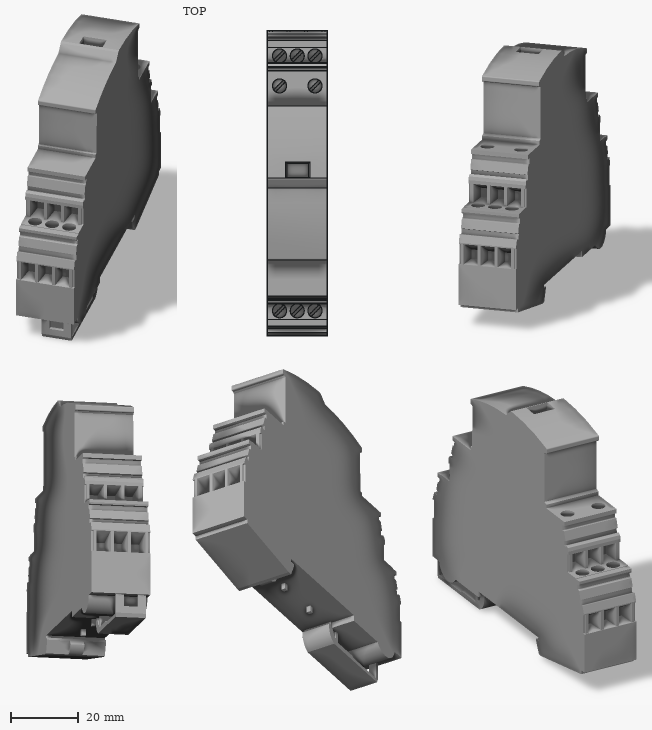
import cadquery as cq


WIDTH = 17.7
LENGTH = 90.0
HALF_WIDTH = WIDTH / 2
HALF_LENGTH = LENGTH / 2
TOP_DECK_Z = 44.4
TERRACE_Z = 28.8
LEDGE_Z = 12.5
TERRACE_LIP_DROP = 0.2
TERRACE_BREAK_Y = 40.05
UPPER_WALL_Y = 35.55
LOWER_WALL_Y = 44.8

FOOT_OUTER_Y = 43.1
FOOT_INNER_Y = 18.1
FOOT_DROP = 1.3
FOOT_BOTTOM_Z = -5.4
FOOT_BOTTOM_LENGTH = 1.35
FOOT_TIP_Y = 16.4
FOOT_TIP_Z = -1.6
NOTCH_Z = -1.0
NOSE_WIDTH = 4.1
NOSE_TIP = (15.0, -3.0)
NOSE_CURVE_MIDDLE = (16.2, -4.7)
PAD_INNER_Y = -17.8
PAD_Z = -1.9
DOME_INNER_Y = -31.3
DOME_BOTTOM = (-36.0, -4.3)
DOME_OUTER_Y = -41.0

CAP_FLOOR_Z = 15.8
CAP_BACK_Y = 22.5
CAP_FRONT_Y = -21.6
CAP_WALL_BACK_Y = 21.3
CAP_WALL_FRONT_Y = -21.15
CAP_FOOT_HEIGHT = 1.2
CAP_FOOT_BEVEL = 0.45
CAP_PEAK = (1.6, 67.3)
CAP_BREAK = (1.0, 67.0)
CAP_VALLEY = (-1.35, 64.8)
CAP_ROOF_BACK_MIDDLE = (13.05, 66.2)
CAP_ROOF_FRONT_MIDDLE = (-11.7, 63.9)
CAP_RIM_BACK = (22.8, 63.9)
CAP_RIM_FRONT = (-22.5, 61.1)
CAP_RIM_HEIGHT = 1.6
CAP_RIM_FILLET = 0.4
CAP_RIM_CHAMFER = 0.45

WINDOW_X = 0.2
WINDOW_Y = 4.05
WINDOW_WIDTH = 7.2
WINDOW_LENGTH = 4.5
WINDOW_DEPTH = 3.2
WINDOW_INSET = 0.45

TERMINAL_PITCH = 5.2
TERMINAL_COLUMNS = (-TERMINAL_PITCH, 0, TERMINAL_PITCH)
ENTRY_WIDTH = 4.3
ENTRY_BACK_WIDTH = 2.4
ENTRY_DEPTH = 4.5
ENTRY_BACK_RISE = 0.5
ENTRY_BACK_HEIGHT = 2.9
UPPER_ENTRY_HEIGHT = 5.8
LOWER_ENTRY_HEIGHT = 6.2
SIDE_RELIEF_DEPTH = 0.6
UPPER_RELIEF_WIDTH = 0.45
LOWER_RELIEF_WIDTH = 0.6

SCREW_DIAMETER = 4.1
SCREW_SINK = 2.7
SCREW_SLOT_WIDTH = 0.8
SCREW_SLOT_DEPTH = 0.7
SCREW_SLOT_ANGLE = 45
TERRACE_SCREW_Y = 37.5
DECK_SCREW_Y = 28.7

LATCH_X = 3.2
LATCH_WIDTH = 9.1
LATCH_BOTTOM_Z = -6.75
LATCH_FRONT_Y = -44.0
LATCH_WALL = 1.1
LATCH_THIN_END_Y = -30.1
LATCH_THICK_STEP = 0.45
LATCH_POST_Y = -20.25
LATCH_HOOK_Y = -16.2
LATCH_HOOK_LOW_Z = -2.2
LATCH_HOOK_HIGH_Z = -1.35
LATCH_HOOK_MIDDLE = (-16.9, -4.9)
LATCH_HOOK_START_Y = -19.1
LATCH_NECK_Y = -17.3
LATCH_NECK_Z = -1.0
LATCH_GAP_TOP_Y = -18.3
LATCH_GAP_BOTTOM_Y = -19.3
LATCH_GAP_BOTTOM_Z = -4.3
LATCH_CORNER_DEPTH = 0.45
LATCH_CORNER_HEIGHT = 1.2
LATCH_WINDOW_WIDTH = 4.2
LATCH_WINDOW_BOTTOM_Z = -3.5

PIN_SIZE = 1.3
PIN_LENGTH = 2.0
PIN_Y = 7.2


def extrude_across(sketch, width=WIDTH, center_x=0.0):
    """Extrude a closed YZ outline symmetrically about the plane X = center_x."""
    return sketch.extrude(width / 2, both=True).translate((center_x, 0, 0))


def stepped_flank():
    """Grooved outline of one terminal end, from the top deck down to the floor."""
    return [
        (33.2, TOP_DECK_Z),
        (33.2, 43.0),
        (32.0, 42.9),
        (32.2, 41.3),
        (33.0, 41.3),
        (33.9, 38.4),
        (33.2, 38.2),
        (33.3, 36.7),
        (34.2, 36.7),
        (34.5, 37.3),
        (34.8, 37.0),
        (35.3, 36.7),
        (UPPER_WALL_Y, 35.6),
        (UPPER_WALL_Y, TERRACE_Z),
        (TERRACE_BREAK_Y, TERRACE_Z),
        (TERRACE_BREAK_Y, TERRACE_Z - TERRACE_LIP_DROP),
        (42.1, TERRACE_Z - TERRACE_LIP_DROP),
        (42.1, 27.7),
        (41.9, 27.3),
        (40.9, 27.2),
        (41.0, 25.65),
        (41.9, 25.5),
        (42.75, 22.9),
        (42.1, 22.6),
        (42.5, 21.0),
        (43.4, 21.3),
        (43.9, 21.4),
        (LOWER_WALL_Y, 19.1),
        (LOWER_WALL_Y, LEDGE_Z),
        (HALF_LENGTH, LEDGE_Z),
        (HALF_LENGTH, 0),
    ]


def make_housing():
    back_flank = stepped_flank()
    front_flank = [(-y, z) for y, z in reversed(back_flank)]
    foot = [
        (FOOT_OUTER_Y, 0),
        (FOOT_OUTER_Y, -FOOT_DROP),
        (FOOT_INNER_Y + FOOT_BOTTOM_LENGTH, FOOT_BOTTOM_Z),
        (FOOT_INNER_Y, FOOT_BOTTOM_Z),
        (FOOT_TIP_Y, FOOT_TIP_Z),
        (FOOT_TIP_Y, NOTCH_Z),
        (FOOT_INNER_Y, NOTCH_Z),
        (FOOT_INNER_Y, 0),
    ]
    pad = [(PAD_INNER_Y, 0), (PAD_INNER_Y, PAD_Z), (DOME_INNER_Y, PAD_Z)]
    outline = (
        cq.Workplane("YZ")
        .polyline(back_flank + foot + pad)
        .threePointArc(DOME_BOTTOM, (DOME_OUTER_Y, 0))
        .polyline(front_flank, includeCurrent=True)
        .close()
    )
    return extrude_across(outline)


def make_foot_nose():
    """Narrow rounded nose in the middle of the rail foot."""
    outline = (
        cq.Workplane("YZ")
        .moveTo(FOOT_INNER_Y, FOOT_BOTTOM_Z)
        .lineTo(FOOT_TIP_Y, FOOT_TIP_Z)
        .lineTo(*NOSE_TIP)
        .threePointArc(NOSE_CURVE_MIDDLE, (FOOT_INNER_Y, FOOT_BOTTOM_Z))
        .close()
    )
    return extrude_across(outline, NOSE_WIDTH)


def cut_cap_bay(housing):
    """Open the bay that receives the cap."""
    bay = cq.Workplane("YZ").polyline([
        (CAP_BACK_Y, TOP_DECK_Z),
        (CAP_BACK_Y, CAP_FLOOR_Z),
        (CAP_FRONT_Y, CAP_FLOOR_Z),
        (CAP_FRONT_Y, TOP_DECK_Z),
    ]).close()
    return housing.cut(extrude_across(bay))


def make_cap():
    foot_z = TOP_DECK_Z + CAP_FOOT_HEIGHT
    rim_back_y, rim_back_z = CAP_RIM_BACK
    rim_front_y, rim_front_z = CAP_RIM_FRONT
    outline = (
        cq.Workplane("YZ")
        .moveTo(CAP_BACK_Y, CAP_FLOOR_Z)
        .lineTo(CAP_BACK_Y, foot_z)
        .lineTo(CAP_WALL_BACK_Y, foot_z + CAP_FOOT_BEVEL)
        .lineTo(CAP_WALL_BACK_Y, rim_back_z - CAP_RIM_HEIGHT - CAP_RIM_CHAMFER)
        .lineTo(CAP_WALL_BACK_Y + CAP_RIM_CHAMFER, rim_back_z - CAP_RIM_HEIGHT)
        .lineTo(rim_back_y, rim_back_z - CAP_RIM_HEIGHT)
        .lineTo(*CAP_RIM_BACK)
        .threePointArc(CAP_ROOF_BACK_MIDDLE, CAP_PEAK)
        .lineTo(*CAP_BREAK)
        .lineTo(*CAP_VALLEY)
        .threePointArc(CAP_ROOF_FRONT_MIDDLE, CAP_RIM_FRONT)
        .lineTo(rim_front_y, rim_front_z - CAP_RIM_HEIGHT)
        .lineTo(CAP_WALL_FRONT_Y - CAP_RIM_CHAMFER, rim_front_z - CAP_RIM_HEIGHT)
        .lineTo(CAP_WALL_FRONT_Y, rim_front_z - CAP_RIM_HEIGHT - CAP_RIM_CHAMFER)
        .lineTo(CAP_FRONT_Y, foot_z)
        .lineTo(rim_front_y, foot_z)
        .lineTo(rim_front_y, TOP_DECK_Z)
        .lineTo(CAP_FRONT_Y, TOP_DECK_Z)
        .lineTo(CAP_FRONT_Y, CAP_FLOOR_Z)
        .close()
    )
    cap = extrude_across(outline)
    for rim_y, rim_z in (CAP_RIM_BACK, CAP_RIM_FRONT):
        rim_box = cq.selectors.BoxSelector(
            (-WIDTH, rim_y - CAP_RIM_FILLET, rim_z - CAP_RIM_HEIGHT - CAP_RIM_FILLET),
            (WIDTH, rim_y + CAP_RIM_FILLET, rim_z + CAP_RIM_FILLET),
        )
        cap = cap.edges("|X").edges(rim_box).fillet(CAP_RIM_FILLET)
    window = (
        cq.Workplane("XY", origin=(WINDOW_X, WINDOW_Y, CAP_PEAK[1]))
        .rect(WINDOW_WIDTH, WINDOW_LENGTH)
        .workplane(offset=-WINDOW_DEPTH)
        .center(0, -WINDOW_INSET / 2)
        .rect(WINDOW_WIDTH - 2 * WINDOW_INSET, WINDOW_LENGTH - WINDOW_INSET)
        .loft(ruled=True)
    )
    return cap.cut(window)


def wire_entry(x, wall_y, floor_z, height):
    """Funnel narrowing from the -Y terminal wall inward to a smaller back face."""
    back_center_z = ENTRY_BACK_RISE + ENTRY_BACK_HEIGHT / 2 - height / 2
    return (
        cq.Workplane("XZ", origin=(x, -wall_y, floor_z + height / 2))
        .rect(ENTRY_WIDTH, height)
        .workplane(offset=-ENTRY_DEPTH)
        .center(0, back_center_z)
        .rect(ENTRY_BACK_WIDTH, ENTRY_BACK_HEIGHT)
        .loft(ruled=True)
    )


def side_relief(side, wall_y, floor_z, height, width):
    """Shallow step where a terminal wall meets the side of the housing."""
    return cq.Workplane("XY").box(
        2 * width, 2 * SIDE_RELIEF_DEPTH, height, centered=(True, True, False),
    ).translate((side * HALF_WIDTH, -wall_y, floor_z))


def cut_wire_entries(housing):
    rows = (
        (UPPER_WALL_Y, TERRACE_Z, UPPER_ENTRY_HEIGHT, UPPER_RELIEF_WIDTH),
        (LOWER_WALL_Y, LEDGE_Z, LOWER_ENTRY_HEIGHT, LOWER_RELIEF_WIDTH),
    )
    for wall_y, floor_z, height, relief_width in rows:
        tools = [wire_entry(x, wall_y, floor_z, height) for x in TERMINAL_COLUMNS]
        tools += [side_relief(side, wall_y, floor_z, height, relief_width) for side in (-1, 1)]
        for tool in tools:
            housing = housing.cut(tool).cut(tool.mirror("XZ"))
    return housing


def sunk_screw(x, y, surface_z):
    """Screw hole down to a sunk head, with the driver slot in the head."""
    head_z = surface_z - SCREW_SINK
    hole = cq.Workplane("XY", origin=(x, y, head_z)).circle(SCREW_DIAMETER / 2).extrude(SCREW_SINK)
    slot = (
        cq.Workplane("XY")
        .box(SCREW_DIAMETER, SCREW_SLOT_WIDTH, SCREW_SLOT_DEPTH, centered=(True, True, False))
        .rotate((0, 0, 0), (0, 0, 1), SCREW_SLOT_ANGLE)
        .translate((x, y, head_z - SCREW_SLOT_DEPTH))
    )
    return hole.union(slot)


def cut_screws(housing):
    for x in TERMINAL_COLUMNS:
        for y in (-TERRACE_SCREW_Y, TERRACE_SCREW_Y):
            housing = housing.cut(sunk_screw(x, y, TERRACE_Z))
    for x in (TERMINAL_COLUMNS[0], TERMINAL_COLUMNS[-1]):
        housing = housing.cut(sunk_screw(x, DECK_SCREW_Y, TOP_DECK_Z))
    return housing


def make_latch():
    """Spring latch under the -Y end: front plate, bottom bar, post and curved hook."""
    thin_z = LATCH_BOTTOM_Z + LATCH_WALL
    thick_z = thin_z + LATCH_THICK_STEP
    outline = (
        cq.Workplane("YZ")
        .moveTo(LATCH_FRONT_Y, 0)
        .lineTo(LATCH_FRONT_Y, LATCH_BOTTOM_Z + LATCH_CORNER_HEIGHT)
        .lineTo(LATCH_FRONT_Y + LATCH_CORNER_DEPTH, LATCH_BOTTOM_Z)
        .lineTo(LATCH_HOOK_START_Y, LATCH_BOTTOM_Z)
        .threePointArc(LATCH_HOOK_MIDDLE, (LATCH_HOOK_Y, LATCH_HOOK_LOW_Z))
        .lineTo(LATCH_HOOK_Y, LATCH_HOOK_HIGH_Z)
        .lineTo(LATCH_NECK_Y, LATCH_NECK_Z)
        .lineTo(LATCH_NECK_Y, 0)
        .lineTo(PAD_INNER_Y, 0)
        .lineTo(PAD_INNER_Y, PAD_Z)
        .lineTo(LATCH_GAP_TOP_Y, PAD_Z)
        .lineTo(LATCH_GAP_BOTTOM_Y, LATCH_GAP_BOTTOM_Z)
        .lineTo(LATCH_POST_Y, LATCH_GAP_BOTTOM_Z)
        .lineTo(LATCH_POST_Y, PAD_Z)
        .lineTo(LATCH_POST_Y - LATCH_WALL, PAD_Z)
        .lineTo(LATCH_POST_Y - LATCH_WALL, thick_z)
        .lineTo(LATCH_THIN_END_Y + LATCH_THICK_STEP, thick_z)
        .lineTo(LATCH_THIN_END_Y, thin_z)
        .lineTo(LATCH_FRONT_Y + LATCH_WALL, thin_z)
        .lineTo(LATCH_FRONT_Y + LATCH_WALL, 0)
        .close()
    )
    latch = extrude_across(outline, LATCH_WIDTH, LATCH_X)
    window = cq.Workplane("XY").box(
        LATCH_WINDOW_WIDTH, 2 * LATCH_WALL, -LATCH_WINDOW_BOTTOM_Z, centered=(True, True, False),
    ).translate((LATCH_X, LATCH_FRONT_Y + LATCH_WALL / 2, LATCH_WINDOW_BOTTOM_Z))
    return latch.cut(window)


def make_pins():
    return (
        cq.Workplane("XY")
        .pushPoints([(0, -PIN_Y), (0, PIN_Y)])
        .rect(PIN_SIZE, PIN_SIZE)
        .extrude(-PIN_LENGTH)
    )


housing = make_housing().union(make_foot_nose())
housing = cut_wire_entries(housing)
housing = cut_screws(housing)
housing = housing.union(make_latch()).union(make_pins())
housing = cut_cap_bay(housing)

result = housing.union(make_cap(), clean=False)